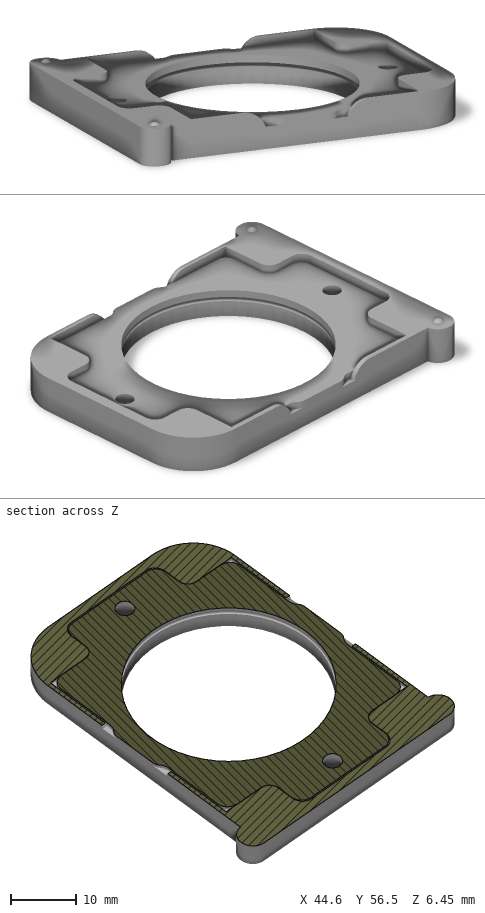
import cadquery as cq
import math

LENGTH = 56.45
BODY_WIDTH = 40.2
BODY_HEIGHT = 6.0
CORNER_RADIUS = 9.0
EAR_LENGTH = 5.0
EAR_RADIUS = 2.4
EAR_SPAN = 44.6

BUMP_HEIGHT = 0.45
BUMP_BASE_RADIUS = 0.85

POCKET_HALF = 19.3
TAB_HALF_WIDTH = 9.95
TAB_END = 26.4
TAB_FILLET = 2.0

STACK_THICKNESS = 1.2
PLATE_COUNT = 2
PLATE_TOP_DEPTH = 1.4
PLATE_GAP = 0.15
PLATE_CORNER_RADIUS = 2.0
GRIP_HALF_LENGTH = 3.9
GRIP_CURVE_RADIUS = 2.0

NOTCH_FLOOR_HALF = 7.0
NOTCH_FLANK_RADIUS = 3.5

WINDOW_DIAMETER = 32.9
SEAT_DIAMETER = 35.4
SEAT_DEPTH = 0.75
HOLE_DIAMETER = 3.0
HOLE_OFFSET = 22.85

HALF_LENGTH = LENGTH / 2
HALF_WIDTH = BODY_WIDTH / 2
EAR_X = EAR_SPAN / 2 - EAR_RADIUS
EAR_Y = EAR_LENGTH / 2 - HALF_LENGTH
PLATE_THICKNESS = STACK_THICKNESS / PLATE_COUNT
POCKET_FLOOR = BODY_HEIGHT - PLATE_TOP_DEPTH - STACK_THICKNESS
POCKET_DEPTH = BODY_HEIGHT - POCKET_FLOOR
EAR_POINTS = [(-EAR_X, EAR_Y), (EAR_X, EAR_Y)]
HOLE_POINTS = [(0, -HOLE_OFFSET), (0, HOLE_OFFSET)]


def tabbed_square(half_width, tab_end, height):
    """Block with a tab at each Y end and fillets at the four tab roots and four tab corners."""
    square = cq.Workplane("XY").box(2 * half_width, 2 * POCKET_HALF, height, centered=(True, True, False))
    tabs = cq.Workplane("XY").box(2 * TAB_HALF_WIDTH, 2 * tab_end, height, centered=(True, True, False))
    reach_x = (TAB_HALF_WIDTH + half_width) / 2
    reach_y = 2 * tab_end
    tab_edges = cq.selectors.BoxSelector((-reach_x, -reach_y, 0), (reach_x, reach_y, height))
    return square.union(tabs).edges("|Z").edges(tab_edges).fillet(TAB_FILLET)


def grip_tongue(height):
    """Strip across the plate that reaches the outer body sides and flares into the plate edge by S-curves."""
    edge_x = POCKET_HALF - PLATE_GAP
    half_step = (HALF_WIDTH - edge_x) / 2
    turn = math.acos(1 - half_step / GRIP_CURVE_RADIUS)
    run = GRIP_CURVE_RADIUS * math.sin(turn)
    mid_run = GRIP_CURVE_RADIUS * math.sin(turn / 2)
    mid_step = GRIP_CURVE_RADIUS * (1 - math.cos(turn / 2))
    root_y = GRIP_HALF_LENGTH + 2 * run
    bend_y = GRIP_HALF_LENGTH + run
    bend_x = edge_x + half_step
    outer_mid = (HALF_WIDTH - mid_step, GRIP_HALF_LENGTH + mid_run)
    inner_mid = (edge_x + mid_step, root_y - mid_run)
    half = (
        cq.Workplane("XY")
        .moveTo(0, -root_y)
        .lineTo(edge_x, -root_y)
        .threePointArc((inner_mid[0], -inner_mid[1]), (bend_x, -bend_y))
        .threePointArc((outer_mid[0], -outer_mid[1]), (HALF_WIDTH, -GRIP_HALF_LENGTH))
        .lineTo(HALF_WIDTH, GRIP_HALF_LENGTH)
        .threePointArc(outer_mid, (bend_x, bend_y))
        .threePointArc(inner_mid, (edge_x, root_y))
        .lineTo(0, root_y)
        .close()
        .extrude(height)
    )
    return half.union(half.mirror("YZ"))


def side_notch():
    """Cutter across both side walls, from the pocket floor up, widening to the top in convex arcs."""
    drop_to_centre = NOTCH_FLANK_RADIUS - POCKET_DEPTH
    top_half = NOTCH_FLOOR_HALF + math.sqrt(NOTCH_FLANK_RADIUS**2 - drop_to_centre**2)
    centre_z = BODY_HEIGHT - NOTCH_FLANK_RADIUS
    mid_angle = (math.pi / 2 + math.asin(drop_to_centre / NOTCH_FLANK_RADIUS)) / 2
    mid_y = top_half - NOTCH_FLANK_RADIUS * math.cos(mid_angle)
    mid_z = centre_z + NOTCH_FLANK_RADIUS * math.sin(mid_angle)
    return (
        cq.Workplane("YZ")
        .moveTo(-NOTCH_FLOOR_HALF, POCKET_FLOOR)
        .lineTo(NOTCH_FLOOR_HALF, POCKET_FLOOR)
        .threePointArc((mid_y, mid_z), (top_half, BODY_HEIGHT))
        .lineTo(-top_half, BODY_HEIGHT)
        .threePointArc((-mid_y, mid_z), (-NOTCH_FLOOR_HALF, POCKET_FLOOR))
        .close()
        .extrude(HALF_WIDTH, both=True)
    )


def ear_bumps():
    """Ball caps on the ears; each ball is sunk so that only its cap stands above the top."""
    ball_radius = (BUMP_BASE_RADIUS**2 + BUMP_HEIGHT**2) / (2 * BUMP_HEIGHT)
    ball_z = BODY_HEIGHT + BUMP_HEIGHT - ball_radius
    return cq.Workplane("XY", origin=(0, 0, ball_z)).pushPoints(EAR_POINTS).sphere(ball_radius)


def make_frame():
    """Solid outline of the body: the frame runs from the middle of the ear bar to the +Y end."""
    frame_length = HALF_LENGTH - EAR_Y
    frame = (
        cq.Workplane("XY")
        .box(BODY_WIDTH, frame_length, BODY_HEIGHT, centered=(True, False, False))
        .edges("|Z and >Y")
        .fillet(CORNER_RADIUS)
        .translate((0, EAR_Y, 0))
    )
    ear_bar = (
        cq.Workplane("XY")
        .box(EAR_SPAN, EAR_LENGTH, BODY_HEIGHT, centered=(True, True, False))
        .edges("|Z")
        .fillet(EAR_RADIUS)
        .translate((0, EAR_Y, 0))
    )
    return frame.union(ear_bar)


def make_body():
    body = make_frame().union(ear_bumps())
    body = body.cut(tabbed_square(POCKET_HALF, TAB_END, POCKET_DEPTH).translate((0, 0, POCKET_FLOOR)))
    body = body.cut(side_notch())

    body = body.cut(cq.Workplane("XY").circle(WINDOW_DIAMETER / 2).extrude(POCKET_FLOOR))
    seat = cq.Workplane("XY", origin=(0, 0, POCKET_FLOOR)).circle(SEAT_DIAMETER / 2).extrude(-SEAT_DEPTH)
    body = body.cut(seat)
    return body.cut(cq.Workplane("XY").pushPoints(HOLE_POINTS).circle(HOLE_DIAMETER / 2).extrude(POCKET_FLOOR))


def make_plate(bottom_z):
    plate = tabbed_square(POCKET_HALF - PLATE_GAP, TAB_END - PLATE_GAP, PLATE_THICKNESS)
    for side in ("<X", ">X"):
        plate = plate.faces(side).edges("|Z").fillet(PLATE_CORNER_RADIUS)
    plate = plate.union(grip_tongue(PLATE_THICKNESS))
    plate = plate.cut(cq.Workplane("XY").circle(WINDOW_DIAMETER / 2).extrude(PLATE_THICKNESS))
    holes = cq.Workplane("XY").pushPoints(HOLE_POINTS).circle(HOLE_DIAMETER / 2).extrude(PLATE_THICKNESS)
    return plate.cut(holes).translate((0, 0, bottom_z))


body = make_body()
plates = [make_plate(POCKET_FLOOR + level * PLATE_THICKNESS) for level in range(PLATE_COUNT)]

result = cq.Compound.makeCompound([body.val(), *[plate.val() for plate in plates]])